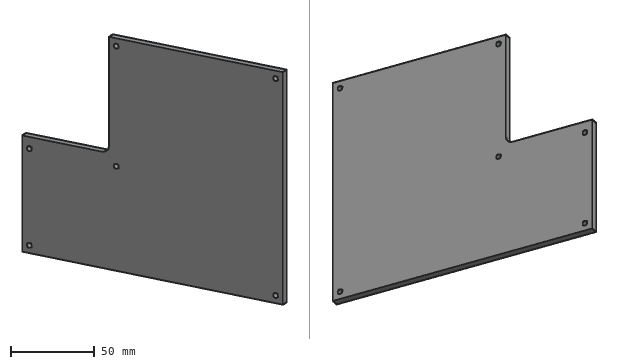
import cadquery as cq

length = 180.0
height = 150.0
thickness = 5.0

notch_length = 60.0
step_height = height / 2
notch_radius = 5.0

hole_diameter = 3.2
edge_inset = 5.0
step_hole_drop = 7.5

left_x = edge_inset
inner_x = notch_length + edge_inset
right_x = length - edge_inset
bottom_z = edge_inset
step_z = step_height - step_hole_drop
top_z = height - edge_inset

hole_centres = [
    (left_x, bottom_z),
    (right_x, bottom_z),
    (left_x, step_z),
    (inner_x, step_z),
    (inner_x, top_z),
    (right_x, top_z),
]


def make_plate():
    """L-shaped plate with a rounded inside corner."""
    arc_centre = (notch_length - notch_radius, step_height + notch_radius)
    return (
        cq.Workplane("XZ")
        .lineTo(length, 0)
        .lineTo(length, height)
        .lineTo(notch_length, height)
        .lineTo(notch_length, arc_centre[1])
        .radiusArc((arc_centre[0], step_height), notch_radius)
        .lineTo(0, step_height)
        .close()
        .extrude(-thickness)
    )


def make_holes():
    """Cylinders through the full thickness at every mounting hole."""
    return (
        cq.Workplane("XZ")
        .pushPoints(hole_centres)
        .circle(hole_diameter / 2)
        .extrude(-thickness)
    )


result = make_plate().cut(make_holes())